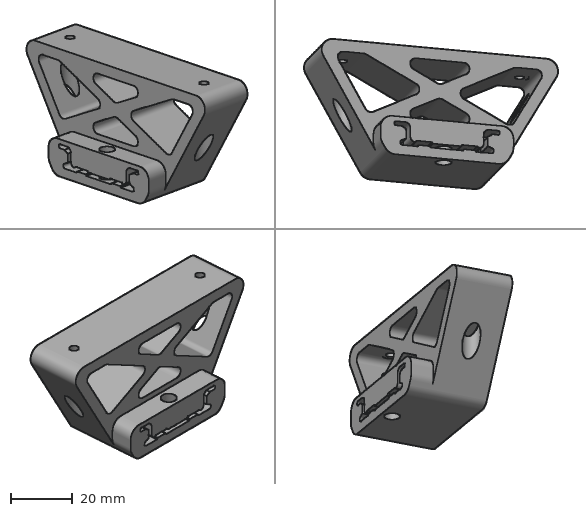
import cadquery as cq
import math

length = 80.0
height = 40.0
body_depth = 20.0
corner_radius = 4.0
side_angle = math.radians(60)
wall = 4.0

boss_width = 45.0
boss_height = 13.0
boss_depth = 8.0

window_floor = 15.0
window_radius = 2.0
strut_width = 4.0
strut_slope = 0.5

screw_spacing = 60.0
screw_hole_diameter = 3.1
head_hole_diameter = 6.0
boss_hole_diameter = 5.2

groove_depth = boss_depth
groove_width = 1.4
groove_bottom = 3.4
groove_top = 11.3
groove_step = 0.5
step_run = 0.3
inner_step_start = 4.8
outer_step_end = 10.2
web_inside = 12.4
web_bend_radius = 1.9
web_foot_radius = 1.6
web_foot_top = 5.7
foot_end = 15.8
foot_radius = 0.9
lip_end = 17.8
lip_chamfer_run = 1.4
lip_chamfer_rise = 1.0

side_run = 1 / math.tan(side_angle)
side_at_top = length / 2 - corner_radius + corner_radius / math.tan(side_angle / 2)
window_ceiling = height - wall
cross_height = (window_ceiling + window_floor) / 2
strut_half_rise = strut_width / 2 * math.hypot(1, strut_slope)
inner_side_at_top = side_at_top - wall / math.sin(side_angle)


def side_x(z, x_at_top=side_at_top):
    """X of a sloping side line at height z."""
    return x_at_top - (height - z) * side_run


def prism(points, depth, radius):
    """Polygon in XZ, extruded from Y = 0 towards +Y, with rounded corners."""
    solid = cq.Workplane("XZ").polyline(points).close().extrude(-depth)
    return solid.edges("|Y").fillet(radius)


def vertical_hole(x, y, diameter, bottom, top):
    return cq.Workplane("XY", origin=(x, y, bottom)).circle(diameter / 2).extrude(top - bottom)


def make_body():
    top = side_x(height)
    bottom = side_x(0)
    return prism([(-top, height), (top, height), (bottom, 0), (-bottom, 0)], body_depth, corner_radius)


def make_boss():
    half = boss_width / 2
    bottom = side_x(0)
    side_corner = height - (side_at_top - half) / side_run
    outline = [
        (-half, boss_height),
        (half, boss_height),
        (half, side_corner),
        (bottom, 0),
        (-bottom, 0),
        (-half, side_corner),
    ]
    return prism(outline, boss_depth, corner_radius).translate((0, -boss_depth, 0))


def make_middle_window(edge, direction):
    """Triangle between the struts, with its flat edge at the given height."""
    tip = cross_height + direction * strut_half_rise
    half = abs(edge - tip) / strut_slope
    return prism([(-half, edge), (half, edge), (0, tip)], body_depth, window_radius)


def make_side_window():
    """Four-sided window between the struts and the right side wall."""
    tip_x = strut_half_rise / strut_slope
    ceiling_x = tip_x + (window_ceiling - cross_height) / strut_slope
    side_at_cross = side_x(cross_height, inner_side_at_top)
    drop = (side_at_cross - tip_x) / (1 / strut_slope + side_run)
    outline = [
        (tip_x, cross_height),
        (ceiling_x, window_ceiling),
        (side_x(window_ceiling, inner_side_at_top), window_ceiling),
        (side_at_cross - drop * side_run, cross_height - drop),
    ]
    return prism(outline, body_depth, window_radius)


def make_groove():
    web_outside = web_inside + groove_width
    floor_low = groove_bottom + groove_width
    floor_high = floor_low + groove_step
    lip_bottom = groove_top - groove_width
    lip_radius = groove_width / 2
    bend_x = web_inside + web_bend_radius
    bend_z = groove_top - web_bend_radius
    foot_x = web_inside - web_foot_radius
    foot_z = floor_low + web_foot_radius
    foot_center_x = foot_end - foot_radius
    foot_center_z = groove_bottom + foot_radius
    slope_dx = web_outside - foot_center_x
    slope_dz = web_foot_top - foot_center_z
    tangent = math.atan2(slope_dz, slope_dx) - math.acos(foot_radius / math.hypot(slope_dx, slope_dz))
    foot_tangent_x = foot_center_x + foot_radius * math.cos(tangent)
    foot_tangent_z = foot_center_z + foot_radius * math.sin(tangent)
    diagonal = math.sqrt(0.5)
    under_inner = inner_step_start + 2 * step_run
    under_outer = outer_step_end - 2 * step_run
    half = (
        cq.Workplane("XZ")
        .moveTo(0, floor_low)
        .lineTo(inner_step_start, floor_low)
        .lineTo(inner_step_start + step_run, floor_high)
        .lineTo(outer_step_end, floor_high)
        .lineTo(foot_x, floor_low)
        .threePointArc(
            (foot_x + web_foot_radius * diagonal, foot_z - web_foot_radius * diagonal),
            (web_inside, foot_z),
        )
        .lineTo(web_inside, bend_z)
        .threePointArc(
            (bend_x - web_bend_radius * diagonal, bend_z + web_bend_radius * diagonal),
            (bend_x, groove_top),
        )
        .lineTo(lip_end - lip_radius, groove_top)
        .threePointArc((lip_end, groove_top - lip_radius), (lip_end - lip_radius, lip_bottom))
        .lineTo(web_outside + lip_chamfer_run, lip_bottom)
        .lineTo(web_outside, lip_bottom - lip_chamfer_rise)
        .lineTo(web_outside, web_foot_top)
        .lineTo(foot_tangent_x, foot_tangent_z)
        .threePointArc((foot_end, foot_center_z), (foot_center_x, groove_bottom))
        .lineTo(under_outer + step_run, groove_bottom)
        .lineTo(under_outer, groove_bottom + groove_step)
        .lineTo(under_inner + step_run, groove_bottom + groove_step)
        .lineTo(under_inner, groove_bottom)
        .lineTo(0, groove_bottom)
        .close()
        .extrude(-groove_depth)
        .translate((0, -boss_depth, 0))
    )
    return half.union(half.mirror("YZ"))


result = make_body().union(make_boss())

result = result.cut(make_middle_window(window_ceiling, 1))
result = result.cut(make_middle_window(window_floor, -1))
side_window = make_side_window()
result = result.cut(side_window).cut(side_window.mirror("YZ"))

for x in (-screw_spacing / 2, screw_spacing / 2):
    result = result.cut(vertical_hole(x, body_depth / 2, screw_hole_diameter, 0, height))
    result = result.cut(vertical_hole(x, body_depth / 2, head_hole_diameter, 0, window_ceiling))

result = result.cut(vertical_hole(0, -boss_depth / 2, boss_hole_diameter, 0, boss_height))
result = result.cut(make_groove())